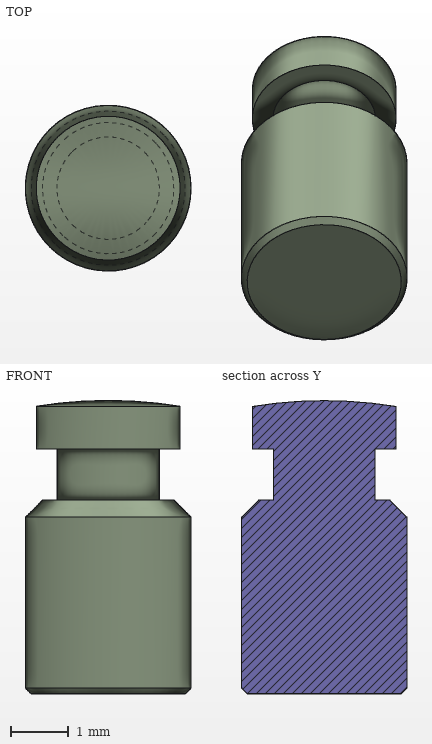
import cadquery as cq

total_height = 5.1
body_diameter = 2.88
neck_diameter = 1.78
head_diameter = 2.5
shoulder_height = 3.37
neck_length = 0.88
crown_height = 0.1
shoulder_chamfer = 0.3
bottom_chamfer = 0.1

head_bottom = shoulder_height + neck_length

head_radius = head_diameter / 2
crown_radius = (head_radius**2 + crown_height**2) / (2 * crown_height)


def make_body():
    """Cylinder with a chamfered shoulder and a smaller chamfer at the bottom."""
    body = cq.Workplane("XY").circle(body_diameter / 2).extrude(shoulder_height)
    body = body.faces(">Z").edges().chamfer(shoulder_chamfer)
    return body.faces("<Z").edges().chamfer(bottom_chamfer)


def make_neck():
    """Plain cylinder joining the body to the head."""
    neck = cq.Workplane("XY").workplane(offset=shoulder_height)
    return neck.circle(neck_diameter / 2).extrude(neck_length)


def make_head():
    """Disc whose top is trimmed to a shallow spherical crown."""
    head = cq.Workplane("XY").workplane(offset=head_bottom)
    head = head.circle(head_radius).extrude(total_height - head_bottom)
    crown_ball = cq.Workplane("XY").sphere(crown_radius)
    crown_ball = crown_ball.translate((0, 0, total_height - crown_radius))
    return head.intersect(crown_ball)


result = make_body().union(make_neck()).union(make_head())